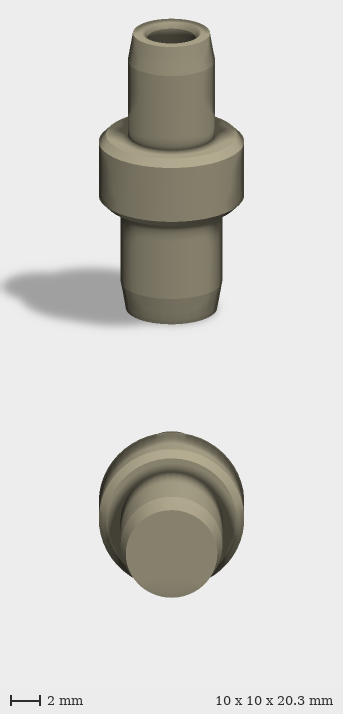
import cadquery as cq
import math

total_length = 20.3
lower_pin_length = 7.8
collar_length = 5.0
collar_top = lower_pin_length + collar_length

collar_radius = 10.0 / 2
lower_pin_radius = 7.0 / 2
upper_pin_radius = 6.0 / 2

taper_length = 2.0
taper_angle = 10.0
taper_inset = taper_length * math.tan(math.radians(taper_angle))
collar_chamfer = 0.5

hole_radius = 3.3 / 2
hole_mouth_radius = 4.0 / 2
hole_mouth_depth = hole_mouth_radius - hole_radius
hole_depth = 10.0
drill_point_angle = 118.0
drill_point_length = hole_radius / math.tan(math.radians(drill_point_angle / 2))


def revolve_profile(points):
    """Revolve a closed (radius, height) profile about the Z axis."""
    profile = cq.Workplane("XZ").polyline(points).close()
    return profile.revolve(360, (0, 0, 0), (0, 1, 0))


def make_body():
    """Two tapered pins joined by a chamfered collar."""
    return revolve_profile([
        (0, 0),
        (lower_pin_radius - taper_inset, 0),
        (lower_pin_radius, taper_length),
        (lower_pin_radius, lower_pin_length),
        (collar_radius - collar_chamfer, lower_pin_length),
        (collar_radius, lower_pin_length + collar_chamfer),
        (collar_radius, collar_top - collar_chamfer),
        (collar_radius - collar_chamfer, collar_top),
        (upper_pin_radius, collar_top),
        (upper_pin_radius, total_length - taper_length),
        (upper_pin_radius - taper_inset, total_length),
        (0, total_length),
    ])


def make_hole():
    """Blind hole with a chamfered mouth and a conical drill point."""
    hole_floor = total_length - hole_depth
    return revolve_profile([
        (0, total_length),
        (hole_mouth_radius, total_length),
        (hole_radius, total_length - hole_mouth_depth),
        (hole_radius, hole_floor),
        (0, hole_floor - drill_point_length),
    ])


result = make_body().cut(make_hole())